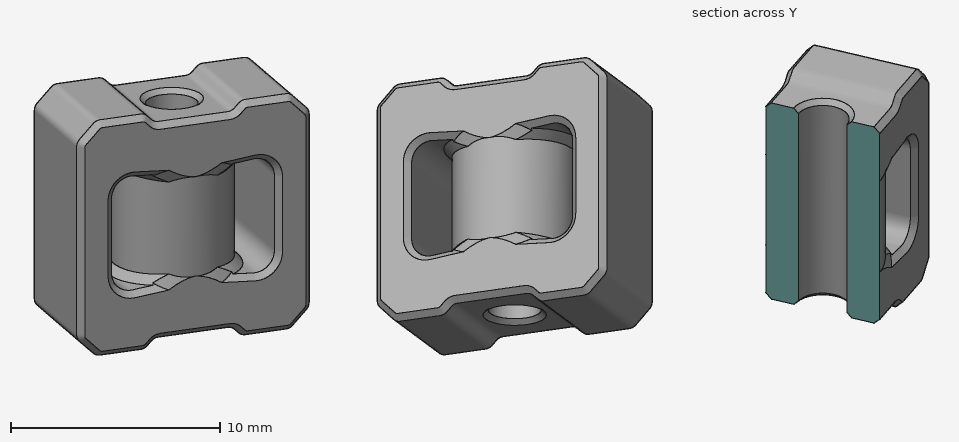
import cadquery as cq
import math

THICKNESS = 6.0
SIDE = 12.0
CORNER_CHAMFER = 1.0
EDGE_CHAMFER = 0.3
VERTEX_RADIUS = 0.5

NOTCH_DEPTH = 0.5
NOTCH_MOUTH_HALF = 2.5
NOTCH_FLOOR_HALF = NOTCH_MOUTH_HALF - NOTCH_DEPTH

WINDOW_HALF_WIDTH = 4.2
WINDOW_HALF_HEIGHT = 3.0
WINDOW_SLOPE = math.radians(5.0)
WINDOW_CORNER_RADIUS = 1.0
WINDOW_WAIST_HALF = WINDOW_HALF_HEIGHT - WINDOW_HALF_WIDTH * math.tan(WINDOW_SLOPE)

POST_DIAMETER = 6.0
POST_FOOT_CHAMFER = 0.4
HOLE_DIAMETER = 2.53
COUNTERSINK = 0.25

MOUTH_START = THICKNESS / 2 - EDGE_CHAMFER
WINDOW_OVERRUN = EDGE_CHAMFER / 2
MOUTH_OVERRUN = 0.5
MOUTH_INRUN = 0.7
MOUTH_TAPER = 45.0


def mirrored_outline(quarter):
    """Close a first-quadrant (Y, Z) chain, running from the Z axis to the Y axis, over all quadrants."""
    upper = quarter + [(y, -z) for y, z in reversed(quarter)]
    other = [(-y, z) for y, z in reversed(upper) if y > 0]
    return upper + other


def make_block():
    """Square block with notched top and bottom, softened corners and bevelled end faces."""
    half = SIDE / 2
    quarter = [
        (NOTCH_FLOOR_HALF, half - NOTCH_DEPTH),
        (NOTCH_MOUTH_HALF, half),
        (half - CORNER_CHAMFER, half),
        (half, half - CORNER_CHAMFER),
    ]
    block = (
        cq.Workplane("YZ")
        .polyline(mirrored_outline(quarter))
        .close()
        .extrude(THICKNESS / 2, both=True)
    )
    block = block.edges("|X").fillet(VERTEX_RADIUS)
    return block.faces("<X or >X").chamfer(EDGE_CHAMFER)


def make_window(half_length):
    """Straight window prism, centred on the block."""
    quarter = [(0, WINDOW_WAIST_HALF), (WINDOW_HALF_WIDTH, WINDOW_HALF_HEIGHT)]
    window = (
        cq.Workplane("YZ")
        .polyline(mirrored_outline(quarter))
        .close()
        .extrude(half_length, both=True)
    )
    return window.faces("<Y or >Y").edges("|X").fillet(WINDOW_CORNER_RADIUS)


def make_mouth():
    """Flared +X mouth of the window, continued inward so that it overlaps the straight part."""
    window = make_window(MOUTH_START)

    def extrude_rim(distance, taper):
        return window.faces(">X").wires().toPending().extrude(distance, taper=taper, combine=False)

    outer = extrude_rim(EDGE_CHAMFER + MOUTH_OVERRUN, -MOUTH_TAPER)
    inner = extrude_rim(-MOUTH_INRUN, MOUTH_TAPER)
    return outer.union(inner)


def clear_post(void):
    """Leave the +Y lobe of a void beside the post, and bevel its rims to give the post flared feet."""
    half_space = cq.Workplane("XY").box(SIDE, SIDE, SIDE, centered=(True, False, True))
    post = cq.Workplane("XY").circle(POST_DIAMETER / 2).extrude(SIDE / 2, both=True)
    post = post.rotate((0, 0, 0), (0, 0, 1), -90)
    lobe = void.intersect(half_space).cut(post)
    return lobe.faces("%CYLINDER").edges("%ELLIPSE").chamfer(POST_FOOT_CHAMFER)


def make_window_lobe():
    """Complete +Y half of the window void, beside the post."""
    straight = clear_post(make_window(MOUTH_START + WINDOW_OVERRUN))
    mouth = clear_post(make_mouth())
    return straight.union(mouth).union(mouth.mirror("YZ"))


def make_hole():
    """Screw hole down the post axis, countersunk at both notch floors."""
    hole_top = SIDE / 2 - NOTCH_DEPTH
    hole_radius = HOLE_DIAMETER / 2
    half_profile = [
        (0, 0),
        (hole_radius, 0),
        (hole_radius, hole_top - COUNTERSINK),
        (hole_radius + COUNTERSINK, hole_top),
        (0, hole_top),
    ]
    half_hole = cq.Workplane("XZ").polyline(half_profile).close().revolve(360, (0, 0), (0, 1))
    return half_hole.union(half_hole.mirror("XY"))


lobe = make_window_lobe()
window_void = lobe.union(lobe.mirror("XZ"))
result = make_block().cut(window_void).cut(make_hole())